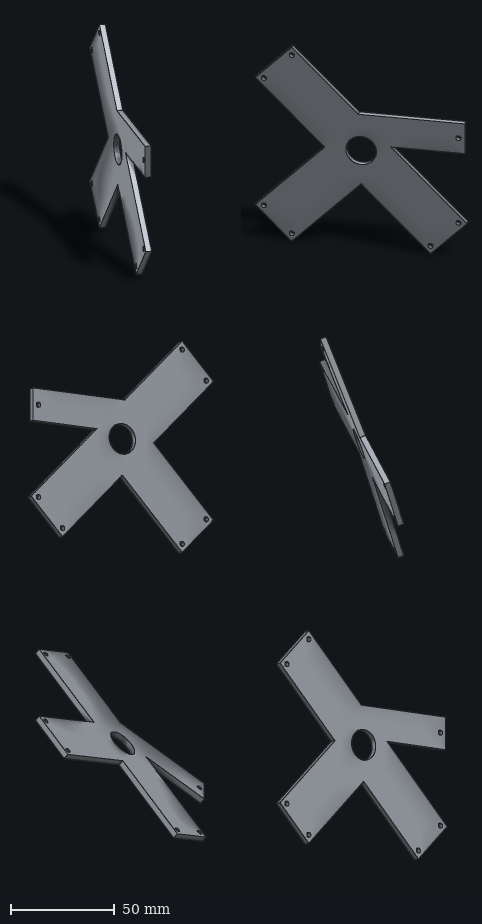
import cadquery as cq
import math

overall_size = 104.1
thickness = 3.0
diagonal_arm_width = 25.4
side_arm_width = 16.0
side_arm_bottom = 3.3
side_arm_reach = 50.9
center_hole_diameter = 14.9
mount_hole_diameter = 2.4
hole_inset = 3.0

diagonal_arm_length = overall_size / math.sqrt(2) - diagonal_arm_width / 2
hole_distance = diagonal_arm_length - hole_inset
hole_offset = diagonal_arm_width / 2 - hole_inset
side_hole_x = (hole_distance + hole_offset) / math.sqrt(2)
side_arm_middle = side_arm_bottom + side_arm_width / 2

diagonal_angles = (135, 225, 315)


def diagonal_point(angle, along, across):
    """Point at a distance along an arm and sideways from its middle line."""
    a = math.radians(angle)
    x = along * math.cos(a) - across * math.sin(a)
    z = along * math.sin(a) + across * math.cos(a)
    return (x, z)


def back_face():
    """XZ workplane on the back, so that the plate is centered on Y = 0."""
    return cq.Workplane("XZ", origin=(0, thickness / 2, 0))


def plate(sketch):
    """Extrude a profile on the back face through the full thickness, toward -Y."""
    return sketch.extrude(thickness)


def diagonal_arm(angle):
    """Arm from the middle of the plate out to its square end."""
    half_width = diagonal_arm_width / 2
    corners = [
        diagonal_point(angle, 0, -half_width),
        diagonal_point(angle, diagonal_arm_length, -half_width),
        diagonal_point(angle, diagonal_arm_length, half_width),
        diagonal_point(angle, 0, half_width),
    ]
    return plate(back_face().polyline(corners).close())


side_arm_root = -diagonal_arm_width / 4
side_arm_length = side_arm_reach - side_arm_root
side_arm = plate(
    back_face()
    .center(side_arm_root + side_arm_length / 2, side_arm_middle)
    .rect(side_arm_length, side_arm_width)
)

body = side_arm
for arm_angle in diagonal_angles:
    body = body.union(diagonal_arm(arm_angle))

mount_points = [(side_hole_x, side_arm_middle)]
for arm_angle in diagonal_angles:
    for side in (-1, 1):
        mount_points.append(diagonal_point(arm_angle, hole_distance, side * hole_offset))

mount_holes = plate(back_face().pushPoints(mount_points).circle(mount_hole_diameter / 2))
center_hole = plate(back_face().circle(center_hole_diameter / 2))

result = body.cut(mount_holes).cut(center_hole).clean()